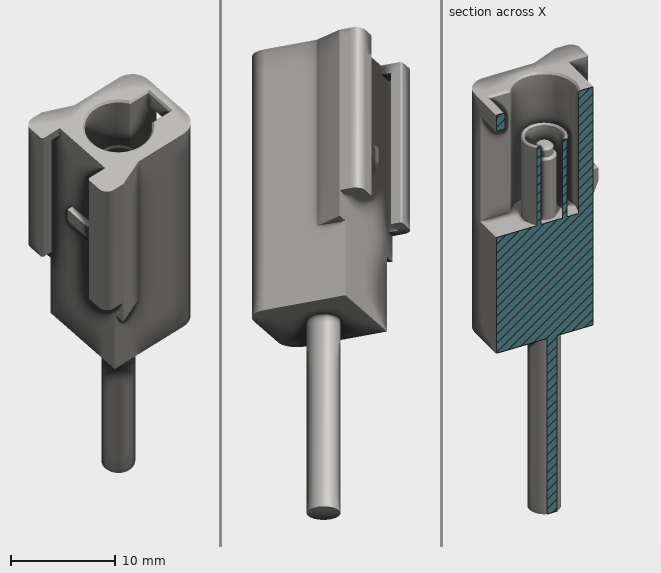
import cadquery as cq

total_height = 47.4
cable_length = 20.1
cable_radius = 1.625
top = total_height

body_half_width = 4.8
body_back = 6.1
body_front = -4.5
back_corner_radius = 2.0

wing_half_width = 6.1
wing_start = -1.5
wing_length = 19.5
foot_front = -6.7
foot_length = 16.8
foot_corner_radius = 1.0
slot_half_width = 3.4
lip_chamfer_width = 0.2
lip_chamfer_depth = 0.14

cap_thickness = 0.95
lip_thickness = 1.15
undercut_half_width = 5.1

latch_width = 3.0
latch_height = 0.6
latch_top_depth = 9.5
latch_ramp_depth = 11.0
latch_bottom_depth = 12.5

bore_radius = 3.25
bore_depth = 14.0
keyway_half_width = 1.6
keyway_back = 5.1
keyway_window_depth = 1.9
mouth_chamfer = 0.2

shield_outer_radius = 2.25
shield_inner_radius = 1.9
shield_tip_depth = 5.0
shield_tip_chamfer = 0.15
insulator_radius = 1.2
insulator_tip_depth = 7.0
insulator_chamfer = 0.2
pin_radius = 0.9
pin_tip_depth = 6.0
pin_chamfer = 0.25


def box(x_min, x_max, y_min, y_max, z_min, z_max):
    """Axis-aligned block between the given limits."""
    size = (x_max - x_min, y_max - y_min, z_max - z_min)
    return cq.Workplane("XY").box(*size, centered=False).translate((x_min, y_min, z_min))


def cylinder(radius, z_min, z_max):
    """Cylinder on the connector axis."""
    return cq.Workplane("XY").workplane(offset=z_min).circle(radius).extrude(z_max - z_min)


def extrude_outline(points, z_min, z_max):
    """Upright prism with the given XY outline."""
    return cq.Workplane("XY").workplane(offset=z_min).polyline(points).close().extrude(z_max - z_min)


def make_block():
    block = box(-body_half_width, body_half_width, body_front, body_back, cable_length, top)
    return block.edges("|Z and >Y").fillet(back_corner_radius)


def make_wings():
    """Sloped flare on both sides, ending flush with the front face of the block."""
    outline = [
        (-body_half_width, wing_start),
        (body_half_width, wing_start),
        (wing_half_width, body_front),
        (-wing_half_width, body_front),
    ]
    return extrude_outline(outline, top - wing_length, top)


def make_foot():
    """Guide foot on the +X side with its undercut groove, open at the lower end."""
    foot_bottom = top - foot_length
    outline = [
        (slot_half_width, body_front),
        (slot_half_width, foot_front + lip_chamfer_depth),
        (slot_half_width + lip_chamfer_width, foot_front),
        (wing_half_width, foot_front),
        (wing_half_width, body_front),
    ]
    foot = extrude_outline(outline, foot_bottom, top)
    foot = foot.edges("|Z and >X and <Y").fillet(foot_corner_radius)
    undercut = box(
        slot_half_width,
        undercut_half_width,
        foot_front + lip_thickness,
        body_front,
        foot_bottom,
        top - cap_thickness,
    )
    return foot.cut(undercut)


def make_latch():
    """Bump with a square upper end and a ramp at its lower end."""
    latch_front = body_front - latch_height
    profile = [
        (body_front, top - latch_top_depth),
        (latch_front, top - latch_top_depth),
        (latch_front, top - latch_ramp_depth),
        (body_front, top - latch_bottom_depth),
    ]
    return cq.Workplane("YZ").polyline(profile).close().extrude(latch_width / 2, both=True)


def make_socket():
    """Cutting body: round socket, chamfered mouth, and keyway with its back window."""
    floor = top - bore_depth
    keyway = box(-keyway_half_width, keyway_half_width, 0, keyway_back, floor, top)
    socket = cylinder(bore_radius, floor, top).union(keyway)
    mouth_rim = (
        socket.faces(">Z")
        .wires()
        .toPending()
        .offset2D(mouth_chamfer, "intersection")
        .extrude(-mouth_chamfer, combine=False, taper=45)
    )
    window = box(
        -keyway_half_width,
        keyway_half_width,
        0,
        body_back,
        floor,
        top - keyway_window_depth,
    )
    return socket.union(mouth_rim).union(window)


def make_contacts():
    """Shield sleeve, insulator and centre pin."""
    floor = top - bore_depth
    shield = cylinder(shield_outer_radius, floor, top - shield_tip_depth)
    shield = shield.cut(cylinder(shield_inner_radius, floor, top - shield_tip_depth))
    shield = shield.faces(">Z").chamfer(shield_tip_chamfer)
    insulator = cylinder(insulator_radius, floor, top - insulator_tip_depth)
    insulator = insulator.faces(">Z").chamfer(insulator_chamfer)
    pin = cylinder(pin_radius, floor, top - pin_tip_depth)
    pin = pin.faces(">Z").chamfer(pin_chamfer)
    return shield, insulator, pin


foot = make_foot()
housing = make_block().union(make_wings()).union(foot).union(foot.mirror("YZ")).union(make_latch())
result = housing.cut(make_socket())
for contact in make_contacts():
    result = result.union(contact)
result = result.union(cylinder(cable_radius, 0, cable_length))